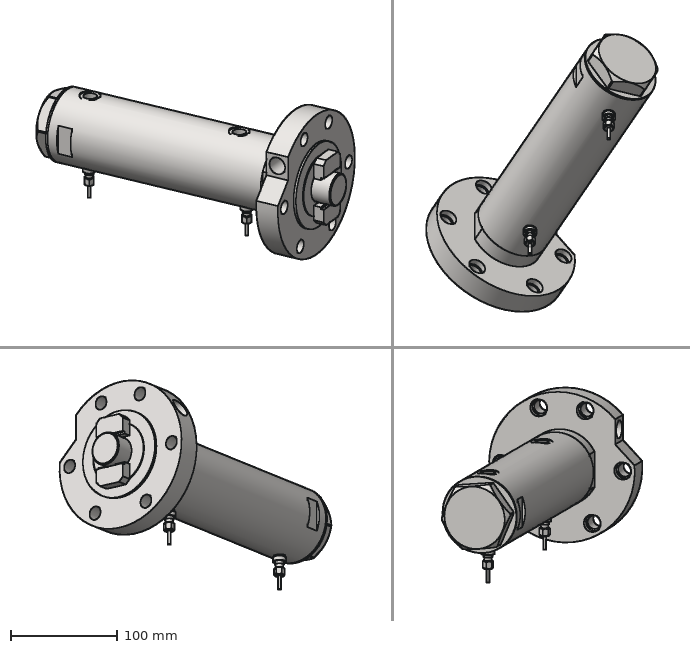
import cadquery as cq
import math

overall_length = 311.52
hex_end = 14.5
cap_end = 16.5
head_start = 248.0
flange_start = 263.9
flange_end = 287.5
ring_end = 290.0
seal_lip_end = 291.0
block_start = 294.0
block_end = 304.5
rod_flats_end = 301.5

tube_diameter = 73.0
bore_diameter = 50.0
wrench_slot_start = 26.5
wrench_slot_end = 41.5
wrench_slot_width = 67.0
port_positions = (41.5, 203.7)
port_diameter = 13.0
port_face_diameter = 20.0
port_face_height = 35.35

hex_width = 60.0
hex_corner_diameter = 68.5
hex_face_diameter = 59.5
hex_angle = 23.0
cap_spigot_end = 42.3

piston_length = 40.0
rod_diameter = 31.5
rod_flat_width = 28.0
rod_chamfer = 1.0

neck_flat_width = 64.6
gland_start = 204.2
gland_diameter = 62.0
flange_diameter = 144.0
notch_flat_y = -52.75
notch_rim_z = 6.0
cross_hole_diameter = 17.0
cross_hole_x = (flange_start + flange_end) / 2
cross_hole_z = 37.3
bolt_circle_radius = 60.0
bolt_angles = (0, 67.5, 112.5, 180, 240, 300)
bolt_hole_diameter = 13.0
bolt_counterbore_diameter = 16.5
bolt_counterbore_depth = 6.5

ring_diameter = 85.0
seal_lip_diameter = 59.5

block_width = 31.5
block_top_z = 33.5
block_corner = 4.5
block_shoulder_z = 16.0

sensor_positions = (40.5, 211.8)
sensor_seat_z = -34.0
sensor_steps = ((5.4, -37.7), (6.2, -42.0), (4.3, -44.7), (3.6, -48.0))
sensor_hex_diameter = 10.4
sensor_hex_end = -56.0
sensor_hex_chamfer = 1.3
cable_diameter = 3.0
cable_end = -69.2

tube_radius = tube_diameter / 2


def x_cylinder(diameter, start, end):
    """Cylinder along the main axis between two X stations."""
    return cq.Workplane("YZ", origin=(start, 0, 0)).circle(diameter / 2).extrude(end - start)


def z_cylinder(x, diameter, bottom, top):
    """Vertical cylinder on the XZ plane of symmetry."""
    return cq.Workplane("XY", origin=(x, 0, bottom)).circle(diameter / 2).extrude(top - bottom)


def x_box(start, end, width, height):
    """Block centred on the main axis between two X stations."""
    return cq.Workplane("YZ", origin=(start, 0, 0)).rect(width, height).extrude(end - start)


def make_tube():
    tube = x_cylinder(tube_diameter, cap_end, head_start)
    outside_slots = x_box(wrench_slot_start, wrench_slot_end, 2 * tube_diameter, tube_diameter).cut(
        x_box(wrench_slot_start, wrench_slot_end, wrench_slot_width, tube_diameter)
    )
    tube = tube.cut(outside_slots)
    tube = tube.cut(x_cylinder(bore_diameter, cap_end, head_start))
    tube = tube.cut(x_cylinder(gland_diameter, gland_start, head_start))
    for x in port_positions:
        tube = tube.cut(z_cylinder(x, port_diameter, 0, tube_radius))
        tube = tube.cut(z_cylinder(x, port_face_diameter, port_face_height, tube_radius))
    seat_diameter = 2 * sensor_steps[0][0]
    for x in sensor_positions:
        tube = tube.cut(z_cylinder(x, seat_diameter, -tube_radius, sensor_seat_z))
    return tube


def make_cap():
    hexagon = (
        cq.Workplane("YZ")
        .polygon(6, hex_width, circumscribed=True)
        .extrude(hex_end)
        .rotate((0, 0, 0), (1, 0, 0), hex_angle)
    )
    bevel = (hex_corner_diameter - hex_face_diameter) / 2
    bevelled_round = x_cylinder(hex_corner_diameter, 0, hex_end).faces("<X").chamfer(bevel)
    collar = x_cylinder(tube_diameter, hex_end, cap_end)
    spigot = x_cylinder(bore_diameter, cap_end, cap_spigot_end)
    return hexagon.intersect(bevelled_round).union(collar).union(spigot)


def make_rod():
    piston = x_cylinder(bore_diameter, cap_spigot_end, cap_spigot_end + piston_length)
    rod = x_cylinder(rod_diameter, cap_spigot_end, overall_length).faces(">X").chamfer(rod_chamfer)
    flats = x_box(seal_lip_end, rod_flats_end, rod_diameter, 2 * rod_diameter).cut(
        x_box(seal_lip_end, rod_flats_end, rod_diameter, rod_flat_width)
    )
    return rod.cut(flats).union(piston)


def make_flange_disc():
    disc = x_cylinder(flange_diameter, flange_start, flange_end)
    radius = flange_diameter / 2
    rim_y = -math.sqrt(radius**2 - notch_rim_z**2)
    corner_z = notch_rim_z + notch_flat_y - rim_y
    beyond_y = -flange_diameter
    beyond_z = corner_z + beyond_y - notch_flat_y
    notch = (
        cq.Workplane("YZ", origin=(flange_start, 0, 0))
        .moveTo(notch_flat_y, corner_z)
        .lineTo(notch_flat_y, radius)
        .lineTo(beyond_y, radius)
        .lineTo(beyond_y, beyond_z)
        .close()
        .extrude(flange_end - flange_start)
    )
    disc = disc.cut(notch)
    cross_hole = (
        cq.Workplane("XZ", origin=(cross_hole_x, 0, cross_hole_z))
        .circle(cross_hole_diameter / 2)
        .extrude(radius, both=True)
    )
    disc = disc.cut(cross_hole)
    bolt_points = [
        (
            bolt_circle_radius * math.cos(math.radians(angle)),
            bolt_circle_radius * math.sin(math.radians(angle)),
        )
        for angle in bolt_angles
    ]
    face = cq.Workplane("YZ", origin=(flange_start, 0, 0)).pushPoints(bolt_points)
    through_holes = face.circle(bolt_hole_diameter / 2).extrude(flange_end - flange_start)
    counterbores = face.circle(bolt_counterbore_diameter / 2).extrude(bolt_counterbore_depth)
    return disc.cut(through_holes).cut(counterbores)


def make_head():
    neck = x_cylinder(tube_diameter, head_start, flange_start).intersect(
        x_box(head_start, flange_start, neck_flat_width, tube_diameter)
    )
    gland = x_cylinder(gland_diameter, gland_start, head_start)
    rod_bore = x_cylinder(rod_diameter, gland_start, flange_end)
    return make_flange_disc().union(neck).union(gland).cut(rod_bore)


def make_retaining_ring():
    ring = x_cylinder(ring_diameter, flange_end, ring_end)
    seal_lip = x_cylinder(seal_lip_diameter, ring_end, seal_lip_end)
    rod_bore = x_cylinder(rod_diameter, flange_end, seal_lip_end)
    return ring.union(seal_lip).cut(rod_bore)


def make_clamp_block(side):
    """Clamp block above the rod for side 1, below it for side -1."""
    seat_z = rod_flat_width / 2
    block = (
        cq.Workplane("XY", origin=(block_start, 0, seat_z))
        .rect(2 * (block_end - block_start), block_width)
        .extrude(block_top_z - seat_z)
        .edges(">Z and |X")
        .chamfer(block_corner)
        .intersect(x_box(block_start, block_end, block_width, 2 * block_top_z))
        .cut(x_box(rod_flats_end, block_end, block_width, 2 * block_shoulder_z))
    )
    return block if side > 0 else block.mirror("XY")


def make_sensor(x):
    top = sensor_seat_z
    sensor = None
    for radius, bottom in sensor_steps:
        step = z_cylinder(x, 2 * radius, bottom, top)
        sensor = step if sensor is None else sensor.union(step)
        top = bottom
    hexagon = (
        cq.Workplane("XY", origin=(x, 0, sensor_hex_end))
        .polygon(6, sensor_hex_diameter)
        .extrude(top - sensor_hex_end)
    )
    bevelled_round = z_cylinder(x, sensor_hex_diameter, sensor_hex_end, top)
    bevelled_round = bevelled_round.edges().chamfer(sensor_hex_chamfer)
    cable = z_cylinder(x, cable_diameter, cable_end, sensor_hex_end)
    return sensor.union(hexagon.intersect(bevelled_round)).union(cable)


tube = make_tube()
cap = make_cap()
rod = make_rod()
head = make_head()
retaining_ring = make_retaining_ring()
clamp_blocks = [make_clamp_block(side) for side in (1, -1)]
sensors = [make_sensor(x) for x in sensor_positions]

bodies = [tube, cap, rod, head, retaining_ring, *clamp_blocks, *sensors]
result = cq.Compound.makeCompound([body.val() for body in bodies])